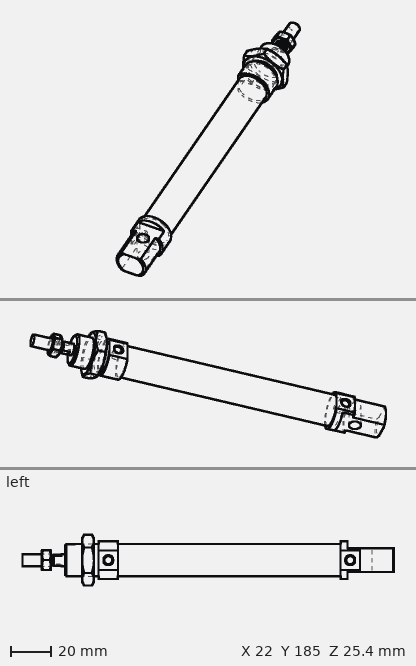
import cadquery as cq
import math


overall_length = 185.0
barrel_dia = 16.1
front_face_y = 164.0
front_chamfer = 1.0
rear_chamfer_radial = 1.1
rear_chamfer_axial = 0.5

collar_dia = 18.9
collar_length = 9.6
rear_collar_y = 17.0
front_collar_y = 137.5

tongue_thickness = 12.0
tongue_length = 23.1
pivot_hole_dia = 6.0
pivot_hole_y = 14.0

port_dia = 4.0
port_mouth_dia = 5.0
port_depth = 5.5
port_chamfer = (port_mouth_dia - port_dia) / 2

rod_dia = 6.1
undercut_dia = 5.0
undercut_depth = (rod_dia - undercut_dia) / 2
undercut_start_y = 169.3
wrench_start_y = 165.5
wrench_across_flats = 5.0
wrench_angle = 15.0

nut_chamfer_angle = 30.0
mount_nut_across_flats = 22.0
mount_nut_thickness = 6.1
mount_nut_y = 149.3
mount_nut_chamfer_dia = 21.5
rod_nut_across_flats = 10.0
rod_nut_thickness = 4.6
rod_nut_y = 170.8
rod_nut_chamfer_dia = 9.2


def plane_at(y):
    """Sketch plane facing +Y, with local x along +Z and local y along +X."""
    return cq.Workplane(cq.Plane(origin=(0, y, 0), xDir=(0, 0, 1), normal=(0, 1, 0)))


def cylinder(dia, start_y, end_y):
    return plane_at(start_y).circle(dia / 2).extrude(end_y - start_y)


def revolve_about_y(points):
    """Turn a closed (radius, y) outline around the Y axis."""
    return cq.Workplane("XY").polyline(points).close().revolve(360, (0, 0, 0), (0, 1, 0))


def make_collar(start_y):
    """Round collar with a port flat on -X, level with the barrel surface."""
    collar = cylinder(collar_dia, start_y, start_y + collar_length)
    keep = cq.Workplane("XY").box(collar_dia, collar_length, collar_dia)
    shift_x = (collar_dia - barrel_dia) / 2
    return collar.intersect(keep.translate((shift_x, start_y + collar_length / 2, 0)))


def make_port(start_y):
    """Cutter for a blind port with a chamfered mouth, entering along +X."""
    mouth = cq.Plane(
        origin=(-barrel_dia / 2, start_y + collar_length / 2, 0), xDir=(0, 1, 0), normal=(1, 0, 0)
    )
    bore = cq.Workplane(mouth).circle(port_dia / 2).extrude(port_depth)
    countersink = (
        cq.Workplane(mouth)
        .circle(port_mouth_dia / 2)
        .workplane(offset=port_chamfer)
        .circle(port_dia / 2)
        .loft()
    )
    return bore.union(countersink)


def make_housing():
    radius = barrel_dia / 2
    housing = revolve_about_y([
        (0, 0),
        (radius - rear_chamfer_radial, 0),
        (radius, rear_chamfer_axial),
        (radius, front_face_y - front_chamfer),
        (radius - front_chamfer, front_face_y),
        (0, front_face_y),
    ])
    for collar_y in (rear_collar_y, front_collar_y):
        housing = housing.union(make_collar(collar_y))
    for collar_y in (rear_collar_y, front_collar_y):
        housing = housing.cut(make_port(collar_y))

    slab = cq.Workplane("XY").box(2 * collar_dia, tongue_length, collar_dia)
    for side in (1, -1):
        slab_z = side * (tongue_thickness + collar_dia) / 2
        housing = housing.cut(slab.translate((0, tongue_length / 2, slab_z)))

    pivot = cq.Workplane("XY").center(0, pivot_hole_y).circle(pivot_hole_dia / 2)
    return housing.cut(pivot.extrude(tongue_thickness, both=True))


def make_rod():
    """Piston rod with wrench flats and an undercut that tapers up to the rod at the nut."""
    rod = revolve_about_y([
        (0, front_face_y),
        (rod_dia / 2, front_face_y),
        (rod_dia / 2, undercut_start_y),
        (undercut_dia / 2, undercut_start_y),
        (undercut_dia / 2, rod_nut_y - undercut_depth),
        (rod_dia / 2, rod_nut_y),
        (rod_dia / 2, overall_length),
        (0, overall_length),
    ])

    wrench_length = undercut_start_y - wrench_start_y
    slab = cq.Workplane("XY").box(2 * rod_dia, wrench_length, rod_dia)
    for side in (1, -1):
        slab_z = side * (wrench_across_flats + rod_dia) / 2
        flat = slab.translate((0, wrench_start_y + wrench_length / 2, slab_z))
        rod = rod.cut(flat.rotate((0, 0, 0), (0, 1, 0), -wrench_angle))
    return rod


def make_nut(across_flats, thickness, start_y, bore_dia, chamfer_dia, turn):
    """Hex nut chamfered at both ends; at turn 0 two of its corners lie on the Z axis."""
    corner_dia = across_flats / math.cos(math.radians(30))
    hexagon = plane_at(start_y).polygon(6, corner_dia).extrude(thickness)
    hexagon = hexagon.rotate((0, 0, 0), (0, 1, 0), turn)

    chamfer_depth = (corner_dia - chamfer_dia) / 2 * math.tan(math.radians(nut_chamfer_angle))
    end_y = start_y + thickness
    envelope = revolve_about_y([
        (0, start_y),
        (chamfer_dia / 2, start_y),
        (corner_dia / 2, start_y + chamfer_depth),
        (corner_dia / 2, end_y - chamfer_depth),
        (chamfer_dia / 2, end_y),
        (0, end_y),
    ])
    return hexagon.intersect(envelope).cut(cylinder(bore_dia, start_y, end_y))


housing = make_housing()
rod = make_rod()
mount_nut = make_nut(
    mount_nut_across_flats, mount_nut_thickness, mount_nut_y, barrel_dia, mount_nut_chamfer_dia, turn=0
)
rod_nut = make_nut(
    rod_nut_across_flats, rod_nut_thickness, rod_nut_y, rod_dia, rod_nut_chamfer_dia, turn=30
)

result = cq.Compound.makeCompound([housing.val(), rod.val(), mount_nut.val(), rod_nut.val()])